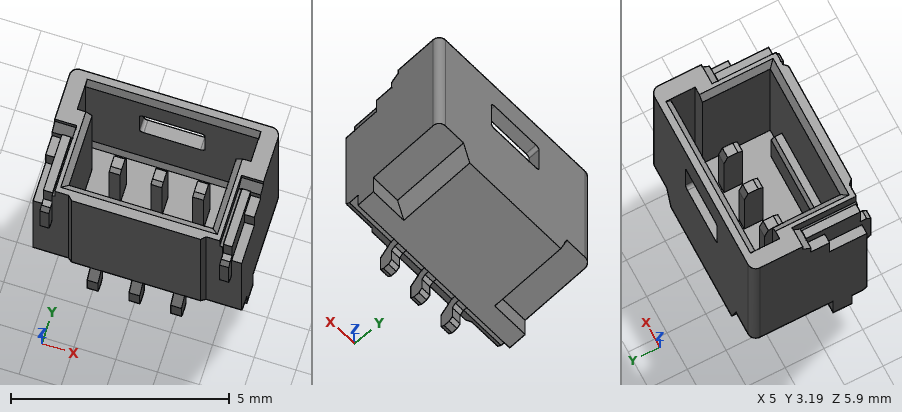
import cadquery as cq
import math


WIDTH = 5.0
DEPTH = 3.19
HEIGHT = 5.9
HALF_WIDTH = WIDTH / 2

WING_DEPTH = 2.96
PANEL_DEPTH = 3.06
PANEL_HALF = 1.645
PANEL_BEVEL = PANEL_DEPTH - WING_DEPTH
BACK_CORNER_RADIUS = 0.2
BODY_DROP = 4.83
FRONT_BEVEL = 0.21

SIDE_DROP = 4.6
BASE_DROP = 5.36
FOOT_BACK = 2.09
FOOT_FRONT = 2.58
CORE_HALF = 1.5
CORE_DRAFT = math.radians(15)

FLOOR_THICKNESS = 0.4
FLOOR_DROP = SIDE_DROP - FLOOR_THICKNESS
CAVITY_HALF = 1.725
CAVITY_FRONT = 2.68
MOUTH_BEVEL = 0.15
MOUTH_TAPER = 45
SLOT_HALF = 2.08
SLOT_BACK = 0.317
SLOT_FRONT = 0.93
SLOT_MOUTH_BEVEL = 0.14
SLOT_FLOOR_BEVEL = 0.12
RIB_HALF = 1.145
RIB_BACK = 2.4
RIB_DROP = 3.0
RIB_BEVEL = 0.09

WINDOW_HALF = 0.78
WINDOW_TOP = 1.07
WINDOW_BOTTOM = 2.28
WINDOW_RADIUS = 0.1

NOTCH_HALF = 1.975
NOTCH_BACK = 1.31
NOTCH_LIP = 0.165
NOTCH_DROP = 0.36
TAB_INNER = 2.045
TAB_OUTER = 2.26
TAB_BACK = 1.52
TAB_DROP = 0.3
TAB_FRONT = 2.92
STEP_DEPTH = 2.0
STEP_DROP = 0.61
STEP_FLOOR = 1.205
LEG_TOP = 0.95
LEG_BOTTOM = 2.27
LEG_BEVEL = 0.11

PIN_PITCH = 1.0
PIN_COUNT = 3
PIN_WIDTH = 0.26
POST_BACK = 1.04
POST_FRONT = 1.517
POST_DROP = 2.0
POST_BACK_BEVEL = 0.095
POST_BACK_BEVEL_DROP = 0.3
POST_FRONT_BEVEL = 0.117
POST_FRONT_BEVEL_DROP = 0.065
TAIL_TOP = BODY_DROP
TAIL_THICKNESS = 0.4
TAIL_ELBOW_DEPTH = 2.85
TAIL_ELBOW_DROP = 5.2
TAIL_INNER_DEPTH = 2.83
TAIL_INNER_BEVEL = 0.1
TAIL_TIP_BEVEL = 0.1


def y_at(depth):
    return DEPTH / 2 - depth


def z_at(drop):
    return HEIGHT - drop


def side_profile(points, x_min, x_max):
    """Extrude a (depth, drop) outline along X."""
    outline = [(y_at(depth), z_at(drop)) for depth, drop in points]
    return cq.Workplane("YZ").workplane(offset=x_min).polyline(outline).close().extrude(x_max - x_min)


def block(x_min, x_max, back, front, top, bottom):
    corners = [(back, top), (front, top), (front, bottom), (back, bottom)]
    return side_profile(corners, x_min, x_max)


def both_sides(solid):
    return solid.union(solid.mirror("YZ"))


def housing_shell():
    shell = block(-HALF_WIDTH, HALF_WIDTH, 0, WING_DEPTH, 0, BODY_DROP)
    shell = shell.edges("|Z and >Y").fillet(BACK_CORNER_RADIUS)
    panel_tip = PANEL_HALF - PANEL_BEVEL
    panel = (
        cq.Workplane("XY")
        .workplane(offset=z_at(BODY_DROP))
        .polyline([
            (-PANEL_HALF, y_at(WING_DEPTH)),
            (-panel_tip, y_at(PANEL_DEPTH)),
            (panel_tip, y_at(PANEL_DEPTH)),
            (PANEL_HALF, y_at(WING_DEPTH)),
        ])
        .close()
        .extrude(BODY_DROP)
    )
    lower_front = side_profile(
        [
            (PANEL_DEPTH, BODY_DROP - FRONT_BEVEL),
            (PANEL_DEPTH, BODY_DROP),
            (PANEL_DEPTH - FRONT_BEVEL, BODY_DROP),
        ],
        -HALF_WIDTH,
        HALF_WIDTH,
    )
    under_sides = block(-HALF_WIDTH, HALF_WIDTH, 0, FOOT_BACK, SIDE_DROP, BODY_DROP)
    return shell.union(panel).cut(lower_front).cut(under_sides)


def base():
    foot = block(-HALF_WIDTH, HALF_WIDTH, FOOT_BACK, FOOT_FRONT, SIDE_DROP, BASE_DROP)
    core_top_half = CORE_HALF + (BASE_DROP - SIDE_DROP) * math.tan(CORE_DRAFT)
    core = (
        cq.Workplane("XZ", origin=(0, y_at(0), 0))
        .polyline([
            (-CORE_HALF, z_at(BASE_DROP)),
            (CORE_HALF, z_at(BASE_DROP)),
            (core_top_half, z_at(SIDE_DROP)),
            (-core_top_half, z_at(SIDE_DROP)),
        ])
        .close()
        .extrude(FOOT_BACK)
    )
    return foot.union(core)


def cavity():
    slot = side_profile(
        [
            (SLOT_BACK - SLOT_MOUTH_BEVEL, 0),
            (SLOT_BACK, SLOT_MOUTH_BEVEL),
            (SLOT_BACK, FLOOR_DROP - SLOT_FLOOR_BEVEL),
            (SLOT_BACK + SLOT_FLOOR_BEVEL, FLOOR_DROP),
            (SLOT_FRONT, FLOOR_DROP),
            (SLOT_FRONT, 0),
        ],
        -SLOT_HALF,
        SLOT_HALF,
    )
    chamber = block(-CAVITY_HALF, CAVITY_HALF, SLOT_FRONT, CAVITY_FRONT, 0, FLOOR_DROP)
    mouth_half = CAVITY_HALF + MOUTH_BEVEL
    mouth_back = SLOT_FRONT - MOUTH_BEVEL
    mouth_front = CAVITY_FRONT + MOUTH_BEVEL
    mouth = (
        cq.Workplane("XY", origin=(0, y_at((mouth_back + mouth_front) / 2), z_at(0)))
        .rect(2 * mouth_half, mouth_front - mouth_back)
        .extrude(-MOUTH_BEVEL, taper=MOUTH_TAPER)
    )
    mouth = mouth.cut(block(-mouth_half, mouth_half, mouth_back, SLOT_FRONT, 0, MOUTH_BEVEL))
    return slot.union(chamber).union(mouth)


def key_rib():
    return side_profile(
        [
            (RIB_BACK, FLOOR_DROP),
            (RIB_BACK, RIB_DROP + RIB_BEVEL),
            (RIB_BACK + RIB_BEVEL, RIB_DROP),
            (CAVITY_FRONT, RIB_DROP),
            (CAVITY_FRONT, FLOOR_DROP),
        ],
        -RIB_HALF,
        RIB_HALF,
    )


def window():
    opening = block(-WINDOW_HALF, WINDOW_HALF, 0, SLOT_BACK, WINDOW_TOP, WINDOW_BOTTOM)
    return opening.edges("|Y").fillet(WINDOW_RADIUS)


def left_notch():
    mouth = side_profile(
        [
            (NOTCH_BACK, 0),
            (NOTCH_BACK, NOTCH_LIP),
            (TAB_BACK, NOTCH_DROP),
            (WING_DEPTH, NOTCH_DROP),
            (WING_DEPTH, 0),
        ],
        -HALF_WIDTH,
        -NOTCH_HALF,
    )
    outer_steps = side_profile(
        [
            (TAB_BACK, NOTCH_DROP),
            (TAB_BACK, STEP_DROP),
            (STEP_DEPTH, STEP_DROP),
            (STEP_DEPTH, STEP_FLOOR),
            (WING_DEPTH, STEP_FLOOR),
            (WING_DEPTH, NOTCH_DROP),
        ],
        -HALF_WIDTH,
        -TAB_OUTER,
    )
    tab_seat = block(-TAB_OUTER, -TAB_INNER, TAB_BACK, WING_DEPTH, NOTCH_DROP, LEG_TOP)
    ledge_bevel_drop = NOTCH_DROP + TAB_INNER - NOTCH_HALF
    ledge_bevel = (
        cq.Workplane("XZ", origin=(0, y_at(TAB_BACK), 0))
        .polyline([
            (-NOTCH_HALF, z_at(NOTCH_DROP)),
            (-TAB_INNER, z_at(NOTCH_DROP)),
            (-TAB_INNER, z_at(ledge_bevel_drop)),
        ])
        .close()
        .extrude(WING_DEPTH - TAB_BACK)
    )
    return mouth.union(outer_steps).union(tab_seat).union(ledge_bevel)


def left_tab():
    return side_profile(
        [
            (TAB_BACK, TAB_DROP),
            (TAB_FRONT, TAB_DROP),
            (TAB_FRONT, LEG_TOP),
            (DEPTH - LEG_BEVEL, LEG_TOP),
            (DEPTH, LEG_TOP + LEG_BEVEL),
            (DEPTH, LEG_BOTTOM - LEG_BEVEL),
            (DEPTH - LEG_BEVEL, LEG_BOTTOM),
            (TAB_FRONT, LEG_BOTTOM),
            (TAB_FRONT, STEP_FLOOR),
            (TAB_BACK, STEP_FLOOR),
        ],
        -TAB_OUTER,
        -TAB_INNER,
    )


def pin_post(x_center):
    return side_profile(
        [
            (POST_BACK, FLOOR_DROP),
            (POST_BACK, POST_DROP + POST_BACK_BEVEL_DROP),
            (POST_BACK + POST_BACK_BEVEL, POST_DROP),
            (POST_FRONT - POST_FRONT_BEVEL, POST_DROP),
            (POST_FRONT, POST_DROP + POST_FRONT_BEVEL_DROP),
            (POST_FRONT, FLOOR_DROP),
        ],
        x_center - PIN_WIDTH / 2,
        x_center + PIN_WIDTH / 2,
    )


def pin_tail(x_center):
    tail_bottom = TAIL_TOP + TAIL_THICKNESS
    return side_profile(
        [
            (FOOT_FRONT, TAIL_TOP),
            (TAIL_ELBOW_DEPTH, TAIL_TOP),
            (DEPTH, TAIL_ELBOW_DROP),
            (DEPTH, HEIGHT - TAIL_TIP_BEVEL),
            (DEPTH - TAIL_TIP_BEVEL, HEIGHT),
            (TAIL_INNER_DEPTH + TAIL_TIP_BEVEL, HEIGHT),
            (TAIL_INNER_DEPTH, HEIGHT - TAIL_TIP_BEVEL),
            (TAIL_INNER_DEPTH, tail_bottom + TAIL_INNER_BEVEL),
            (TAIL_INNER_DEPTH - TAIL_INNER_BEVEL, tail_bottom),
            (FOOT_FRONT, tail_bottom),
        ],
        x_center - PIN_WIDTH / 2,
        x_center + PIN_WIDTH / 2,
    )


housing = housing_shell().union(base())
housing = housing.cut(cavity()).cut(window()).cut(both_sides(left_notch()))
result = housing.union(key_rib()).union(both_sides(left_tab()))
for index in range(PIN_COUNT):
    pin_x = (index - (PIN_COUNT - 1) / 2) * PIN_PITCH
    result = result.union(pin_post(pin_x)).union(pin_tail(pin_x))